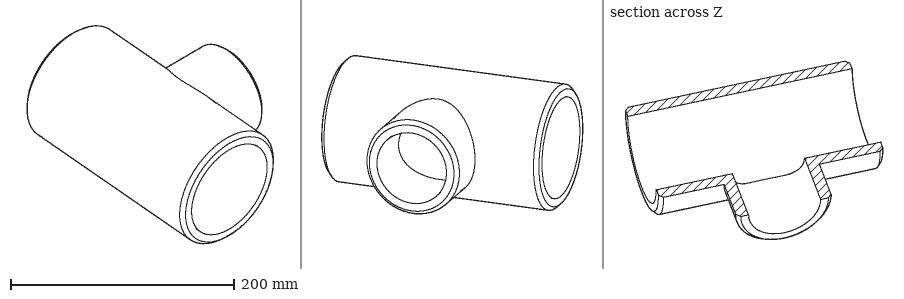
import cadquery as cq

run_length = 209.3
run_diameter = 114.3
wall = 11.0
run_bore = run_diameter - 2 * wall

branch_reach = 98.5
branch_diameter = 89.2
branch_bore = branch_diameter - 2 * wall

end_bevel = 3.8


def run_cylinder(diameter):
    """Cylinder spanning the full run length."""
    return cq.Workplane("YZ").circle(diameter / 2).extrude(run_length / 2, both=True)


def branch_cylinder(diameter):
    """Cylinder from the run axis out to the branch end."""
    return cq.Workplane("XZ").circle(diameter / 2).extrude(-branch_reach)


run_body = run_cylinder(run_diameter).faces("<X or >X").chamfer(end_bevel)
branch_body = branch_cylinder(branch_diameter).faces(">Y").chamfer(end_bevel)

result = (
    run_body.union(branch_body)
    .cut(run_cylinder(run_bore))
    .cut(branch_cylinder(branch_bore))
)